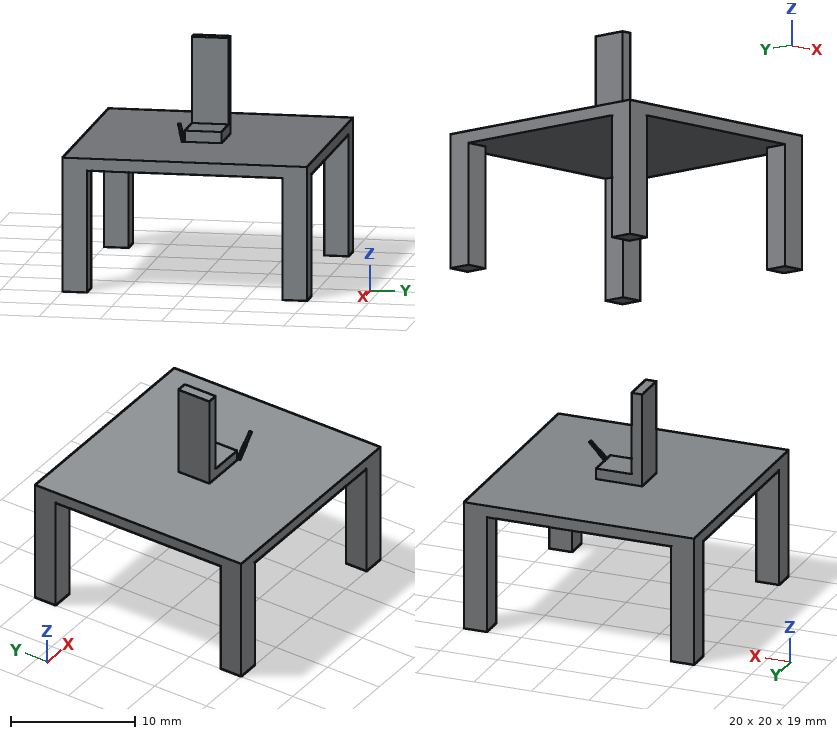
import cadquery as cq
import math

table_side = 20.0
top_thickness = 1.0
leg_side = 2.0
leg_height = 10.0
table_height = leg_height + top_thickness

chair_depth = 4.0
chair_width = 3.0
chair_height = 8.0
chair_thickness = 0.92

stick_width = 0.2
grip_length = 1.4
tip_length = 1.05
stick_tilt = 45.0


def make_table():
    """Table top with a leg flush with each corner."""
    top = cq.Workplane("XY").workplane(offset=leg_height).rect(table_side, table_side).extrude(top_thickness)
    leg_spacing = table_side - leg_side
    legs = (
        cq.Workplane("XY")
        .rect(leg_spacing, leg_spacing, forConstruction=True)
        .vertices()
        .rect(leg_side, leg_side)
        .extrude(leg_height)
    )
    return top.union(legs)


def make_chair():
    """L profile in the XZ plane, extruded across the chair's width."""
    back_x = -chair_depth / 2
    front_x = chair_depth / 2
    seat_z = table_height + chair_thickness
    back_top_z = table_height + chair_height
    return (
        cq.Workplane("XZ")
        .moveTo(back_x, table_height)
        .lineTo(front_x, table_height)
        .lineTo(front_x, seat_z)
        .lineTo(back_x + chair_thickness, seat_z)
        .lineTo(back_x + chair_thickness, back_top_z)
        .lineTo(back_x, back_top_z)
        .close()
        .extrude(chair_width / 2, both=True)
    )


def make_stick():
    """Tilted stick whose lower end touches the table top and the seat's front plane."""
    half_width = stick_width / 2
    tilt = math.radians(stick_tilt)
    base_centre = cq.Vector(
        chair_depth / 2 + half_width * math.cos(tilt),
        -chair_width / 2 - half_width,
        table_height + half_width * math.sin(tilt),
    )
    across = cq.Vector(math.cos(tilt), 0, -math.sin(tilt))
    along = cq.Vector(math.sin(tilt), 0, math.cos(tilt))
    base_plane = cq.Plane(origin=base_centre, xDir=across, normal=along)
    grip = cq.Workplane(base_plane).rect(stick_width, stick_width).extrude(grip_length)
    tip = cq.Workplane(base_plane).workplane(offset=grip_length).circle(half_width).extrude(tip_length)
    return grip.union(tip)


table = make_table()
chair = make_chair()
stick = make_stick()

result = cq.Compound.makeCompound([table.val(), chair.val(), stick.val()])